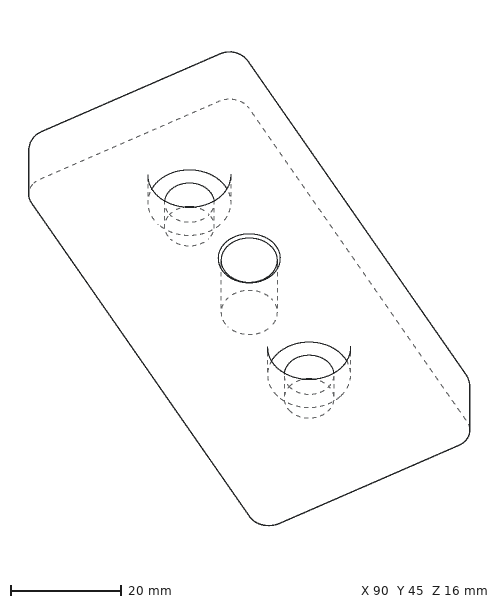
import cadquery as cq

length = 90.0
width = length / 2
height = 16.0
corner_radius = 4.0
top_fillet = 3.0

bolt_hole_offset = length / 4
bolt_hole_diameter = 9.0
counterbore_diameter = 15.0
counterbore_depth = 9.0
counterbore_edge_fillet = 1.0

centre_hole_diameter = 10.2
centre_hole_chamfer = 0.5


def make_block():
    """Block standing on Z = 0 with round corners and a rounded top edge."""
    block = cq.Workplane("XY").box(length, width, height, centered=(True, True, False))
    return block.edges("|Z").fillet(corner_radius).faces(">Z").edges().fillet(top_fillet)


def make_cutter(diameter, depth):
    """Cylinder reaching down from the top face by the given depth."""
    return cq.Workplane("XY").workplane(offset=height - depth).circle(diameter / 2).extrude(depth)


def make_counterbored_cutter():
    """Through hole and counterbore, whose mouth is rounded outwards."""
    hole_radius = bolt_hole_diameter / 2
    bore_radius = counterbore_diameter / 2
    mouth_radius = bore_radius + counterbore_edge_fillet
    arc_middle = counterbore_edge_fillet * (1 - 0.5**0.5)
    floor_height = height - counterbore_depth
    profile = (
        cq.Workplane("XZ")
        .lineTo(hole_radius, 0)
        .lineTo(hole_radius, floor_height)
        .lineTo(bore_radius, floor_height)
        .lineTo(bore_radius, height - counterbore_edge_fillet)
        .threePointArc((bore_radius + arc_middle, height - arc_middle), (mouth_radius, height))
        .lineTo(0, height)
        .close()
    )
    return profile.revolve(360, (0, 0, 0), (0, 1, 0))


def make_centre_cutter():
    """Through hole with a chamfered mouth at the top."""
    mouth_radius = centre_hole_diameter / 2 + centre_hole_chamfer
    mouth = (
        cq.Workplane("XY")
        .workplane(offset=height)
        .circle(mouth_radius)
        .workplane(offset=-centre_hole_chamfer)
        .circle(centre_hole_diameter / 2)
        .loft()
    )
    return make_cutter(centre_hole_diameter, height).union(mouth)


result = make_block().cut(make_centre_cutter())
for side in (-1, 1):
    result = result.cut(make_counterbored_cutter().translate((side * bolt_hole_offset, 0, 0)))